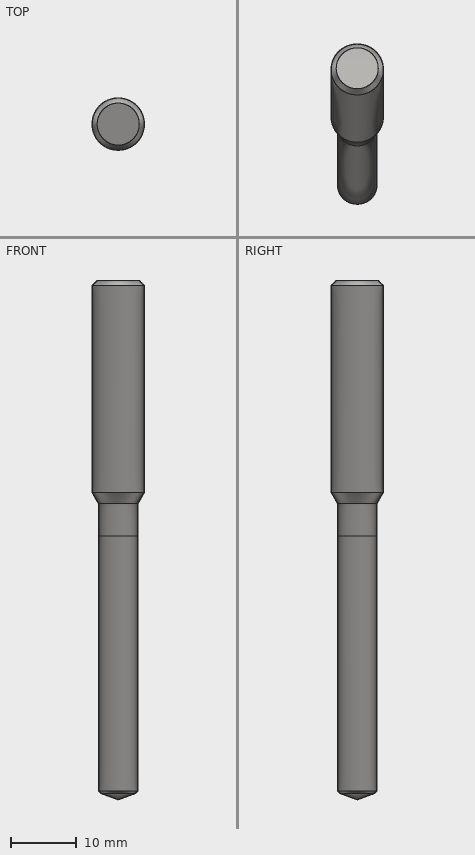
import cadquery as cq
import math

total_length = 79.0
shank_diameter = 8.0
cutter_diameter = 6.0

shank_chamfer = 0.8
taper_top_z = 46.8
taper_bottom_z = 45.0
joint_z = 40.1

point_angle = 140.0
corner_chamfer = 0.4

shank_radius = shank_diameter / 2
cutter_radius = cutter_diameter / 2
point_radius = cutter_radius - corner_chamfer
point_height = point_radius / math.tan(math.radians(point_angle / 2))


def revolve_profile(points):
    """Revolve an (r, z) outline around the Z axis."""
    return cq.Workplane("XZ").polyline(points).close().revolve(360, (0, 0), (0, 1))


def make_shank():
    return revolve_profile([
        (0, joint_z),
        (cutter_radius, joint_z),
        (cutter_radius, taper_bottom_z),
        (shank_radius, taper_top_z),
        (shank_radius, total_length - shank_chamfer),
        (shank_radius - shank_chamfer, total_length),
        (0, total_length),
    ])


def make_cutter():
    return revolve_profile([
        (0, 0),
        (point_radius, point_height),
        (cutter_radius, point_height + corner_chamfer),
        (cutter_radius, joint_z),
        (0, joint_z),
    ])


shank = make_shank()
cutter = make_cutter()
result = cq.Compound.makeCompound([shank.val(), cutter.val()])